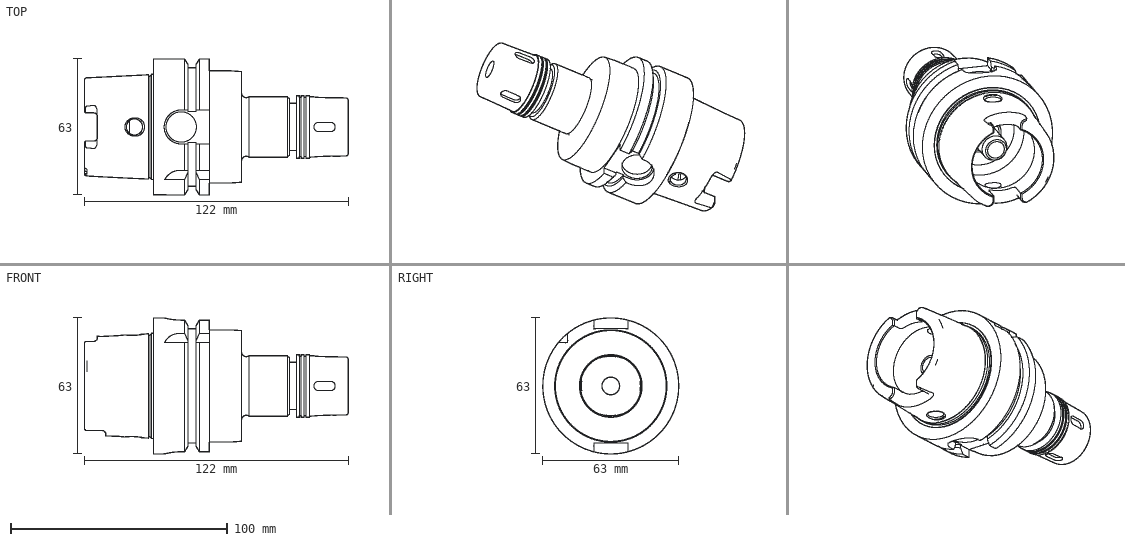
import cadquery as cq


length = 122.0
taper_end = 29.8
flange_start = 32.0
v_groove_start = 46.4
v_groove_end = 53.2
v_groove_run = 1.6
flange_end = 57.8
shoulder_break = 67.8
shoulder_end = 72.7
collar_start = 76.1
collar_end = 94.9
nut_start = 98.0
rings_end = 104.1

taper_mouth_radius = 22.7
taper_slope = 1 / 20
undercut_radius = 23.5
relief_inner_radius = 24.4
relief_radius = 25.6
flange_radius = 31.5
v_groove_lip_radius = 28.9
v_groove_radius = 27.5
shoulder_radius = 26.0
shoulder_tip_radius = 25.6
blend_radius = 15.7
collar_radius = 14.0
neck_radius = 11.0
ring_radius = 14.5
ring_groove_radius = 13.8
nut_back_radius = 14.0
nut_front_radius = 13.4

mouth_round = 1.2
slot_lip_chamfer = 0.6
relief_depth = 0.5
undercut_run = 0.6
undercut_rise = 0.7
collar_chamfer = 1.1
nut_round = 1.1

ring_grooves = (99.4, 101.6)
ring_groove_width = 0.7
wrench_slot_count = 4
wrench_slot_center = 111.0
wrench_slot_length = 9.9
wrench_slot_width = 4.3
wrench_slot_floor = 12.0

throat_radius = 17.0
throat_end = 13.0
throat_chamfer = 0.5
cavity_radius = 19.4
cavity_floor = 41.5
cavity_floor_radius = 15.7
tube_nut_radius = 9.0
tube_nut_rim_radius = 7.8
tube_nut_start = 39.0
tube_radius = 6.0
tube_tip_radius = 5.0
tube_start = 18.4
tube_tip_run = 2.5
coolant_bore = 8.0

drive_slot_half_width = 6.5
drive_slot_land = 20.6
drive_slot_round = 2.7
drive_slot_corner = 1.7
upper_slot_depth = 6.0
lower_slot_depth = 9.9

access_hole = 7.5
access_countersink = 9.3
access_x = 23.2

keyway_x = 44.8
keyway_width = 15.7
keyway_floor = 26.5
pocket_diameter = 14.0
pocket_depth = 3.0
notch_offset = 20.0
notch_x = 44.3
notch_cutter_radius = 8.0


def taper_radius(x):
    return taper_mouth_radius + taper_slope * x


def revolve_outline(outline):
    return outline.close().revolve(360, (0, 0, 0), (1, 0, 0))


def blank():
    undercut_end = taper_end + undercut_run
    outline = (
        cq.Workplane("XY")
        .lineTo(0, taper_mouth_radius)
        .lineTo(taper_end, taper_radius(taper_end))
        .lineTo(taper_end, undercut_radius)
        .lineTo(undercut_end, undercut_radius)
        .lineTo(undercut_end + undercut_rise, relief_inner_radius)
        .lineTo(flange_start + relief_depth, relief_inner_radius)
        .lineTo(flange_start + relief_depth, relief_radius)
        .lineTo(flange_start, relief_radius)
        .lineTo(flange_start, flange_radius)
        .lineTo(v_groove_start, flange_radius)
        .lineTo(v_groove_start + v_groove_run, v_groove_lip_radius)
        .lineTo(v_groove_start + v_groove_run, v_groove_radius)
        .lineTo(v_groove_end - v_groove_run, v_groove_radius)
        .lineTo(v_groove_end - v_groove_run, v_groove_lip_radius)
        .lineTo(v_groove_end, flange_radius)
        .lineTo(flange_end, flange_radius)
        .lineTo(flange_end, shoulder_radius)
        .lineTo(shoulder_break, shoulder_radius)
        .lineTo(shoulder_end, shoulder_tip_radius)
        .lineTo(shoulder_end, blend_radius)
        .tangentArcPoint((collar_start, collar_radius), relative=False)
        .lineTo(collar_end - collar_chamfer, collar_radius)
        .lineTo(collar_end, collar_radius - collar_chamfer)
        .lineTo(collar_end, neck_radius)
        .lineTo(nut_start, neck_radius)
        .lineTo(nut_start, ring_radius)
    )
    for groove in ring_grooves:
        outline = (
            outline.lineTo(groove, ring_radius)
            .lineTo(groove, ring_groove_radius)
            .lineTo(groove + ring_groove_width, ring_groove_radius)
            .lineTo(groove + ring_groove_width, ring_radius)
        )
    outline = (
        outline.lineTo(rings_end, ring_radius)
        .lineTo(rings_end, nut_back_radius)
        .lineTo(length, nut_front_radius)
        .lineTo(length, 0)
    )
    return revolve_outline(outline)


def clamping_cavity():
    outline = (
        cq.Workplane("XY")
        .lineTo(0, throat_radius + throat_chamfer)
        .lineTo(throat_chamfer, throat_radius)
        .lineTo(throat_end, throat_radius)
        .lineTo(throat_end, cavity_radius)
        .lineTo(cavity_floor - (cavity_radius - cavity_floor_radius), cavity_radius)
        .lineTo(cavity_floor, cavity_floor_radius)
        .lineTo(cavity_floor, 0)
    )
    return revolve_outline(outline)


def coolant_tube():
    outline = (
        cq.Workplane("XY")
        .moveTo(tube_start, 0)
        .lineTo(tube_start, tube_tip_radius)
        .lineTo(tube_start + tube_tip_run, tube_radius)
        .lineTo(tube_nut_start, tube_radius)
        .lineTo(tube_nut_start, tube_nut_rim_radius)
        .lineTo(tube_nut_start + tube_nut_radius - tube_nut_rim_radius, tube_nut_radius)
        .lineTo(cavity_floor, tube_nut_radius)
        .lineTo(cavity_floor, 0)
    )
    return revolve_outline(outline)


def slot_outline(plane, growth):
    """Slot section, grown by an even offset into the walls and flats beside it."""
    wall = drive_slot_half_width + growth
    wall_top = drive_slot_land - drive_slot_round
    land = drive_slot_land - growth
    land_edge = drive_slot_half_width + drive_slot_round
    roll = drive_slot_round - growth
    reach = taper_mouth_radius
    return (
        plane.moveTo(-wall, 0)
        .lineTo(-wall, wall_top)
        .radiusArc((-land_edge, land), -roll)
        .lineTo(-reach, land)
        .lineTo(-reach, flange_radius)
        .lineTo(reach, flange_radius)
        .lineTo(reach, land)
        .lineTo(land_edge, land)
        .radiusArc((wall, wall_top), -roll)
        .lineTo(wall, 0)
        .close()
    )


def drive_slot(depth):
    """Slot cut from above; its walls roll over onto two flats, and its mouth is chamfered."""
    slot = slot_outline(cq.Workplane("YZ"), 0).extrude(depth)
    slot = slot.faces(">X").edges().fillet(drive_slot_corner)
    flare = slot_outline(cq.Workplane("YZ"), slot_lip_chamfer)
    flare = slot_outline(flare.workplane(offset=slot_lip_chamfer), 0).loft(ruled=True)
    return slot.union(flare)


def half_turn(shape):
    """Turn a shape to the opposite side of the axis."""
    return shape.rotate((0, 0, 0), (1, 0, 0), 180)


def access_holes():
    """Opposed radial holes, each countersunk where it meets the taper."""
    surface = taper_radius(access_x)
    sink_depth = (access_countersink - access_hole) / 2
    hole = cq.Workplane("XY").center(access_x, 0).circle(access_hole / 2).extrude(flange_radius)
    sink = (
        cq.Workplane("XY", origin=(access_x, 0, surface))
        .circle(access_countersink / 2)
        .workplane(offset=-sink_depth)
        .circle(access_hole / 2)
        .loft()
    )
    hole = hole.union(sink)
    return hole.union(half_turn(hole))


def keyway():
    """Round-ended slot open to the back of the flange, with a round pocket in its floor."""
    run = flange_end - keyway_x
    height = flange_radius - keyway_floor
    floor = cq.Workplane("XY", origin=(keyway_x, 0, keyway_floor))
    slot = floor.circle(keyway_width / 2).extrude(height)
    slot = slot.union(floor.center(run / 2, 0).rect(run, keyway_width).extrude(height))
    pocket = floor.circle(pocket_diameter / 2).extrude(-pocket_depth)
    return slot.union(pocket)


def corner_notch():
    """Step milled into the flange at the -Y, +Z corner, with a rounded blind end."""
    height = flange_radius - notch_offset
    return (
        cq.Workplane("XY", origin=(0, 0, notch_offset))
        .moveTo(notch_x, -notch_offset)
        .lineTo(flange_end, -notch_offset)
        .lineTo(flange_end, -flange_radius)
        .lineTo(notch_x - notch_cutter_radius, -flange_radius)
        .lineTo(notch_x - notch_cutter_radius, -notch_offset - notch_cutter_radius)
        .radiusArc((notch_x, -notch_offset), notch_cutter_radius)
        .close()
        .extrude(height)
    )


def wrench_slots():
    slots = cq.Workplane("XY")
    slot = (
        cq.Workplane("XY", origin=(wrench_slot_center, 0, wrench_slot_floor))
        .slot2D(wrench_slot_length, wrench_slot_width)
        .extrude(ring_radius - wrench_slot_floor)
    )
    for index in range(wrench_slot_count):
        angle = index * 360 / wrench_slot_count
        slots = slots.add(slot.rotate((0, 0, 0), (1, 0, 0), angle))
    return slots.combine()


body = blank()
body = body.faces("<X").edges().fillet(mouth_round)
body = body.faces(">X").edges().fillet(nut_round)
body = body.cut(clamping_cavity())
body = body.cut(drive_slot(upper_slot_depth))
body = body.cut(half_turn(drive_slot(lower_slot_depth)))
body = body.cut(access_holes())
body = body.cut(keyway())
body = body.cut(half_turn(keyway()))
body = body.cut(corner_notch())
body = body.cut(wrench_slots())
body = body.union(coolant_tube())
result = body.cut(cq.Workplane("YZ").circle(coolant_bore / 2).extrude(length))